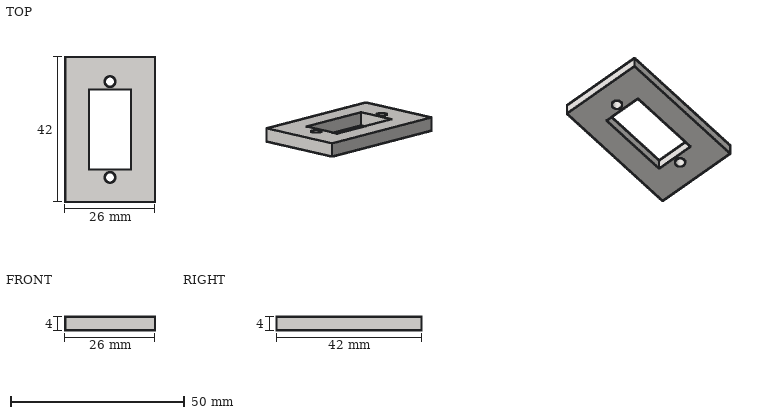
import cadquery as cq

plate_width = 26.0
plate_length = 42.0
plate_thickness = 4.0

window_width = 12.0
window_length = 23.0

hole_diameter = 3.0
hole_spacing = 27.68

plate = cq.Workplane("XY").box(plate_width, plate_length, plate_thickness)

plate_with_window = plate.faces(">Z").workplane().rect(window_width, window_length).cutThruAll()

hole_centers = [(0, -hole_spacing / 2), (0, hole_spacing / 2)]
result = plate_with_window.faces(">Z").workplane(origin=(0, 0, 0)).pushPoints(hole_centers).hole(hole_diameter)